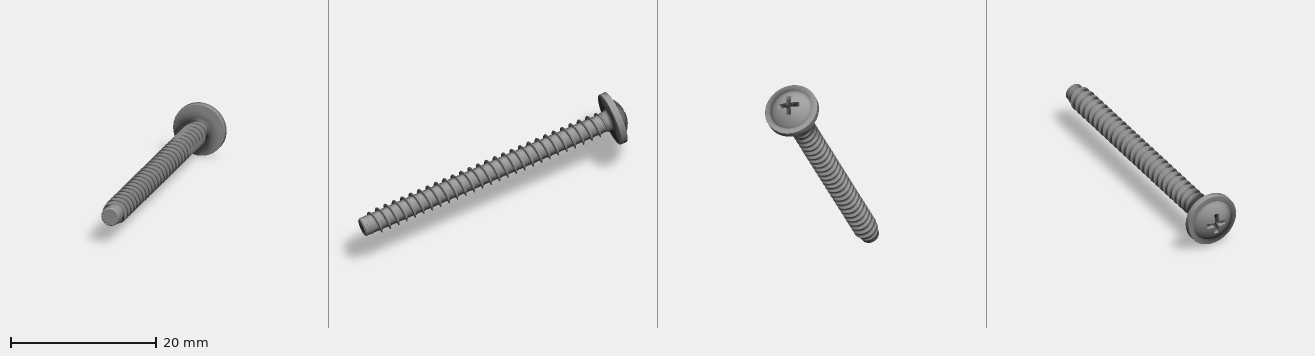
import cadquery as cq
import math

FLANGE_RADIUS = 7.5 / 2
FLANGE_THICKNESS = 0.97
FLANGE_EDGE_CHAMFER = 0.05
DOME_BASE_RADIUS = 2.95
HEAD_HEIGHT = 2.35

RECESS_WING_WIDTH = 0.68
RECESS_TOP_RADIUS = 1.85
RECESS_BOTTOM_RADIUS = 0.5
RECESS_FLOOR = 0.9

SHANK_LENGTH = 38.0
CORE_RADIUS = 2.62 / 2
NECK_RADIUS = 2.87 / 2
NECK_LENGTH = 0.85
NECK_TAPER_LENGTH = 0.25
NECK_FILLET = 0.42
TIP_CHAMFER = 0.15
TIP_DISH_DEPTH = 0.08

THREAD_PITCH = 1.29
THREAD_RADIUS = 3.5 / 2
CREST_WIDTH = 0.06
TIP_FLANK_ANGLE = 15.0
HEAD_FLANK_ANGLE = 27.0
RAMP_HEIGHT = 0.08
RAMP_ANGLE = 66.0
ROOT_OVERLAP = 0.1
THREAD_END = 37.72
THREAD_TURNS = 29.2
END_ANGLE = 188.5
FADE_TURNS = 1.4
END_COVER = 0.1
FULL_SEGMENTS = 26
POINTS_PER_TURN = 8


def make_body():
    """Head and shank as one revolved outline, radius in X and height along Y."""
    edge = FLANGE_EDGE_CHAMFER
    dome_rise = HEAD_HEIGHT - FLANGE_THICKNESS
    dome_radius = (DOME_BASE_RADIUS**2 + dome_rise**2) / (2 * dome_rise)
    half_sweep = math.asin(DOME_BASE_RADIUS / dome_radius) / 2
    dome_mid = (
        dome_radius * math.sin(half_sweep),
        HEAD_HEIGHT - dome_radius * (1 - math.cos(half_sweep)),
    )
    tip_radius = CORE_RADIUS - TIP_CHAMFER
    dish_radius = (tip_radius**2 + TIP_DISH_DEPTH**2) / (2 * TIP_DISH_DEPTH)
    half_dish = math.asin(tip_radius / dish_radius) / 2
    dish_mid = (
        dish_radius * math.sin(half_dish),
        TIP_DISH_DEPTH - SHANK_LENGTH - dish_radius * (1 - math.cos(half_dish)),
    )
    outline = (
        cq.Workplane("XY")
        .moveTo(0, HEAD_HEIGHT)
        .threePointArc(dome_mid, (DOME_BASE_RADIUS, FLANGE_THICKNESS))
        .lineTo(FLANGE_RADIUS - edge, FLANGE_THICKNESS)
        .lineTo(FLANGE_RADIUS, FLANGE_THICKNESS - edge)
        .lineTo(FLANGE_RADIUS, edge)
        .lineTo(FLANGE_RADIUS - edge, 0)
        .lineTo(NECK_RADIUS + NECK_FILLET, 0)
        .radiusArc((NECK_RADIUS, -NECK_FILLET), -NECK_FILLET)
        .lineTo(NECK_RADIUS, -NECK_LENGTH)
        .lineTo(CORE_RADIUS, -NECK_LENGTH - NECK_TAPER_LENGTH)
        .lineTo(CORE_RADIUS, -SHANK_LENGTH + TIP_CHAMFER)
        .lineTo(tip_radius, -SHANK_LENGTH)
        .threePointArc(dish_mid, (0, TIP_DISH_DEPTH - SHANK_LENGTH))
        .close()
    )
    return outline.revolve(360, (0, 0, 0), (0, 1, 0))


def thread_point(radius, axial_offset, turns):
    """Point on a corner curve of the thread; `radius` is that of the full thread."""
    sink_depth = THREAD_RADIUS - CORE_RADIUS + END_COVER
    turns_to_end = min(turns, THREAD_TURNS - turns)
    local_radius = radius - sink_depth * max(0, 1 - turns_to_end / FADE_TURNS)
    angle = math.radians(END_ANGLE) - 2 * math.pi * turns
    y = -THREAD_END + THREAD_PITCH * turns + axial_offset
    return cq.Vector(local_radius * math.cos(angle), y, local_radius * math.sin(angle))


def thread_edge(corner, first_turn, last_turn):
    """Helical curve of one section corner between two positions along the thread."""
    span_count = math.ceil((last_turn - first_turn) * POINTS_PER_TURN)
    step = (last_turn - first_turn) / span_count
    return cq.Edge.makeSpline([thread_point(*corner, first_turn + step * i) for i in range(span_count + 1)])


def flank_width(height, angle):
    """Axial width of a flank of given radial height and angle in degrees."""
    return height * math.tan(math.radians(angle))


def make_thread():
    """Helical ridge with a ramp at the root of its head flank, as ruled faces between corner curves."""
    root_radius = CORE_RADIUS - ROOT_OVERLAP
    ramp_radius = CORE_RADIUS + RAMP_HEIGHT
    half_crest = CREST_WIDTH / 2
    tip_root = half_crest + flank_width(THREAD_RADIUS - root_radius, TIP_FLANK_ANGLE)
    ramp_top = half_crest + flank_width(THREAD_RADIUS - ramp_radius, HEAD_FLANK_ANGLE)
    ramp_root = ramp_top + flank_width(ramp_radius - root_radius, RAMP_ANGLE)
    corners = [
        (root_radius, ramp_root),
        (ramp_radius, ramp_top),
        (THREAD_RADIUS, half_crest),
        (THREAD_RADIUS, -half_crest),
        (root_radius, -tip_root),
    ]
    full_turns = THREAD_TURNS - 2 * FADE_TURNS
    breaks = [0]
    breaks += [FADE_TURNS + full_turns * i / FULL_SEGMENTS for i in range(FULL_SEGMENTS + 1)]
    breaks += [THREAD_TURNS]
    faces = []
    for first_turn, last_turn in zip(breaks, breaks[1:]):
        edges = [thread_edge(corner, first_turn, last_turn) for corner in corners]
        faces += [cq.Face.makeRuledSurface(edges[i - 1], edges[i]) for i in range(len(edges))]
    for end_turn in (0, THREAD_TURNS):
        end_points = [thread_point(*corner, end_turn) for corner in corners]
        faces.append(cq.Face.makeFromWires(cq.Wire.makePolygon(end_points, close=True)))
    return cq.Workplane(obj=cq.Solid.makeSolid(cq.Shell.makeShell(faces)))


def make_recess():
    """Cross of two slots bounded by a cone narrowing towards the floor."""
    cone = (
        cq.Workplane("XY")
        .moveTo(0, RECESS_FLOOR)
        .lineTo(RECESS_BOTTOM_RADIUS, RECESS_FLOOR)
        .lineTo(RECESS_TOP_RADIUS, HEAD_HEIGHT)
        .lineTo(0, HEAD_HEIGHT)
        .close()
        .revolve(360, (0, 0, 0), (0, 1, 0))
    )
    span = 2 * RECESS_TOP_RADIUS
    wing = cq.Workplane("XY").box(span, 2 * HEAD_HEIGHT, RECESS_WING_WIDTH)
    cross = wing.union(wing.rotate((0, 0, 0), (0, 1, 0), 90))
    return cone.intersect(cross)


result = make_body().cut(make_recess()).union(make_thread(), clean=False)